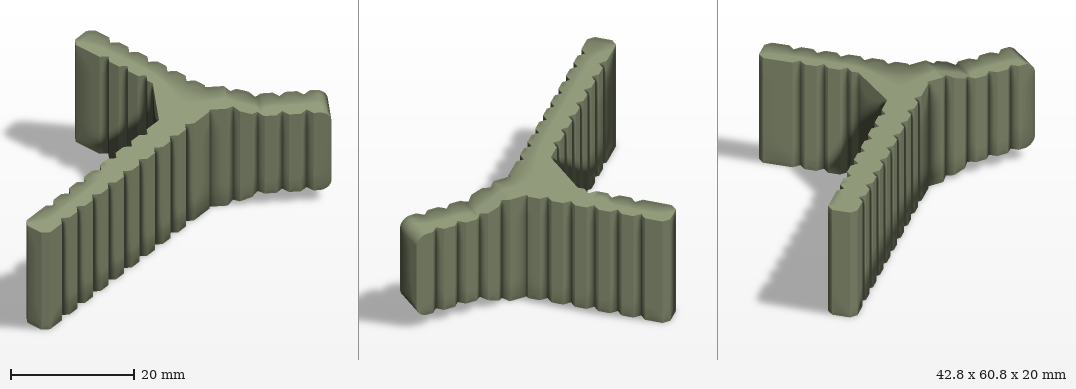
import cadquery as cq
import math


overall_x = 42.8
overall_y = 60.75
height = 20.0

arm_thickness = 5.0
long_arm_length = 46.95
finger_reach = overall_y - long_arm_length
short_arm_length = overall_x - finger_reach
gusset_leg = 6.85

last_groove_position = 42.0
last_groove_step = 10.5
groove_pitch = last_groove_position / last_groove_step
groove_depth = groove_pitch / 4
end_chamfer = groove_depth

short_outer_steps = [1, 2, 3, 4, 5, 6]
short_inner_steps = [3.5, 4.5, 5.5]
long_outer_steps = [1] + [2.5 + i for i in range(9)]
long_inner_steps = [4 + i for i in range(7)]

finger_width = 6.0
finger_height = 16.0
finger_tip = finger_reach * math.sqrt(2) - finger_width / 2
finger_root = -arm_thickness * math.sqrt(2)
finger_groove_count = 4
ramp_start = -0.5
ramp_length = 5.5
tip_radius = 2.0


def prism(points):
    """Extrude a plan outline over the full height."""
    return cq.Workplane("XY").polyline(points).close().extrude(height / 2, both=True)


def plain_arm(length):
    """Arm along +X with its outer face on Y = 0 and a chamfered free end."""
    arm = cq.Workplane("XY").box(length, arm_thickness, height, centered=(False, False, True))
    return arm.edges("|Z and >X").chamfer(end_chamfer)


def groove(position, face_y, inward):
    """V groove cutter at X = position, sunk from Y = face_y in the +1 or -1 Y direction."""
    mouth_y = face_y - inward * groove_depth
    half_mouth = 2 * groove_depth
    return prism([
        (position - half_mouth, mouth_y),
        (position, face_y + inward * groove_depth),
        (position + half_mouth, mouth_y),
    ])


def arm_grooves(outer_steps, inner_steps):
    """Groove cutters for an arm along +X."""
    outer = [groove(step * groove_pitch, 0, 1) for step in outer_steps]
    inner = [groove(step * groove_pitch, arm_thickness, -1) for step in inner_steps]
    return outer + inner


def as_short_arm(body):
    """Turn a body built along +X onto -X, with its outer face on the +Y side."""
    return body.rotate((0, 0, 0), (0, 0, 1), 180)


def as_long_arm(body):
    """Turn a body built along +X onto -Y, with its outer face on the +X side."""
    return body.mirror("XZ").rotate((0, 0, 0), (0, 0, 1), -90)


def gusset():
    """Triangular fill across the inner corner, overlapping both arms."""
    inner = -arm_thickness
    overlap = inner / 2
    return prism([
        (overlap, overlap),
        (inner - gusset_leg, overlap),
        (inner - gusset_leg, inner),
        (inner, inner - gusset_leg),
        (overlap, inner - gusset_leg),
    ])


def arms():
    """Both arms and the gusset, grooved once joined so the corner grooves stay open."""
    body = as_short_arm(plain_arm(short_arm_length))
    body = body.union(as_long_arm(plain_arm(long_arm_length)))
    body = body.union(gusset())
    for cutter in arm_grooves(short_outer_steps, short_inner_steps):
        body = body.cut(as_short_arm(cutter))
    for cutter in arm_grooves(long_outer_steps, long_inner_steps):
        body = body.cut(as_long_arm(cutter))
    return body


def along_diagonal(body):
    """Turn a body built along +X onto the diagonal."""
    return body.rotate((0, 0, 0), (0, 0, 1), 45)


def finger():
    """Full-height finger with V grooves in both sides."""
    half_width = finger_width / 2
    body = prism([
        (finger_root, -half_width),
        (finger_tip, -half_width),
        (finger_tip, half_width),
        (finger_root, half_width),
    ])
    first_groove = ramp_start + groove_depth
    for i in range(finger_groove_count):
        position = first_groove + i * groove_pitch
        body = body.cut(groove(position, -half_width, 1))
        body = body.cut(groove(position, half_width, -1))
    return along_diagonal(body)


def finger_relief():
    """Cutter that ramps the finger down to its own height and rounds its tip, above and below."""
    top = height / 2
    finger_top = finger_height / 2
    round_start = finger_tip - tip_radius
    round_z = finger_top - tip_radius
    arc_offset = tip_radius / math.sqrt(2)
    arc_mid = (round_start + arc_offset, round_z + arc_offset)
    upper = (
        cq.Workplane("XZ")
        .moveTo(ramp_start, top)
        .lineTo(ramp_start + ramp_length, finger_top)
        .lineTo(round_start, finger_top)
        .threePointArc(arc_mid, (finger_tip, round_z))
        .lineTo(finger_tip, top)
        .close()
        .extrude(finger_width, both=True)
    )
    return along_diagonal(upper.union(upper.mirror("XY")))


result = arms().union(finger()).cut(finger_relief())